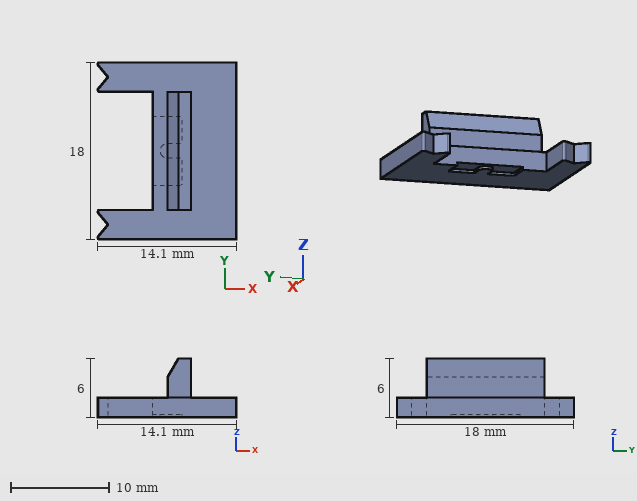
import cadquery as cq
import math

LENGTH = 14.08
WIDTH = 18.0
PLATE_HEIGHT = 2.0
ARM_WIDTH = 3.0
BODY_DEPTH = 8.5

NOTCH_HALF_ANGLE = math.radians(50)
TIP_RADIUS = 0.2

TOTAL_HEIGHT = 6.0
RIB_THICKNESS = 2.4
RIB_TO_BACK = 4.59
SLOPE_RUN = 1.1
SLOPE_DROP = 1.89

RECESS_WIDTH = 7.0
RECESS_LENGTH = 3.0
RECESS_DEPTH = 0.3
RECESS_CORNER_RADIUS = 0.25
TONGUE_WIDTH = 1.5

inner_x = LENGTH - BODY_DEPTH
opening_width = WIDTH - 2 * ARM_WIDTH
arm_center_y = (WIDTH - ARM_WIDTH) / 2

sharp_tip_x = TIP_RADIUS - TIP_RADIUS / math.tan(NOTCH_HALF_ANGLE / 2)
notch_depth = ARM_WIDTH / 2 / math.tan(NOTCH_HALF_ANGLE)


def block(x_start, x_end, width, height):
    """Box centred on y = 0 and standing on z = 0."""
    return (
        cq.Workplane("XY")
        .box(x_end - x_start, width, height, centered=(False, True, False))
        .translate((x_start, 0, 0))
    )


def arm_notch(center_y):
    """V-shaped cutter for the end of one arm."""
    return (
        cq.Workplane("XY")
        .moveTo(sharp_tip_x, center_y - ARM_WIDTH / 2)
        .lineTo(sharp_tip_x + notch_depth, center_y)
        .lineTo(sharp_tip_x, center_y + ARM_WIDTH / 2)
        .close()
        .extrude(PLATE_HEIGHT)
    )


def base_plate():
    plate = block(sharp_tip_x, LENGTH, WIDTH, PLATE_HEIGHT)
    plate = plate.cut(block(sharp_tip_x, inner_x, opening_width, PLATE_HEIGHT))
    for side in (-1, 1):
        plate = plate.cut(arm_notch(side * arm_center_y))
    return plate.edges("|Z").edges("<X").fillet(TIP_RADIUS)


def rib():
    back_x = LENGTH - RIB_TO_BACK
    front_x = back_x - RIB_THICKNESS
    profile = [
        (front_x, PLATE_HEIGHT),
        (back_x, PLATE_HEIGHT),
        (back_x, TOTAL_HEIGHT),
        (front_x + SLOPE_RUN, TOTAL_HEIGHT),
        (front_x, TOTAL_HEIGHT - SLOPE_DROP),
    ]
    return cq.Workplane("XZ").polyline(profile).close().extrude(opening_width / 2, both=True)


def underside_recess():
    """Recess cutter with rounded back corners, leaving a tongue on its back wall."""
    recess_back_x = inner_x + RECESS_LENGTH
    round_center_x = inner_x + RECESS_LENGTH / 2
    pocket = block(inner_x, recess_back_x, RECESS_WIDTH, RECESS_DEPTH)
    pocket = pocket.edges("|Z and >X").fillet(RECESS_CORNER_RADIUS)
    tongue = (
        cq.Workplane("XY")
        .moveTo(recess_back_x, -TONGUE_WIDTH / 2)
        .lineTo(round_center_x, -TONGUE_WIDTH / 2)
        .threePointArc((round_center_x - TONGUE_WIDTH / 2, 0), (round_center_x, TONGUE_WIDTH / 2))
        .lineTo(recess_back_x, TONGUE_WIDTH / 2)
        .close()
        .extrude(RECESS_DEPTH)
    )
    return pocket.cut(tongue)


result = base_plate().union(rib()).cut(underside_recess())